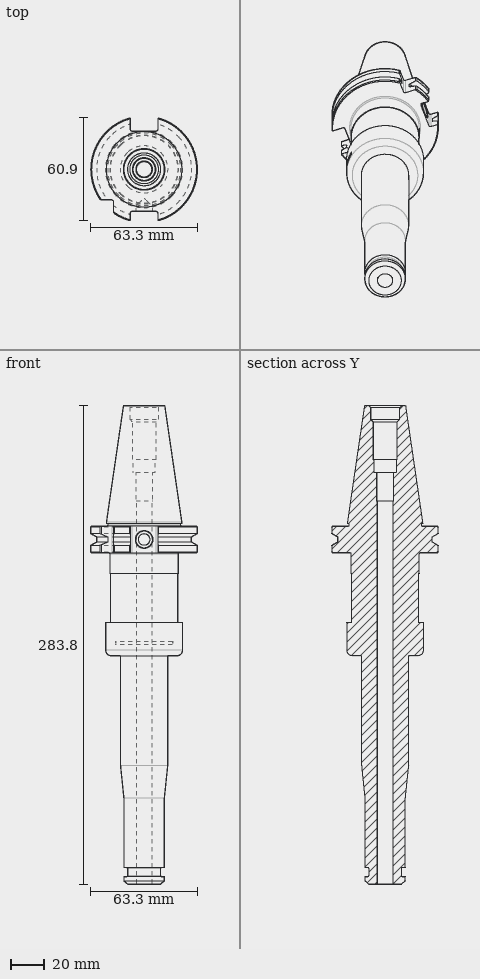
import cadquery as cq
import math

TOTAL_HEIGHT = 283.8
GAUGE_Z = 214.5
UNDERCUT_Z = 213.7
FLANGE_TOP_Z = 212.2
FLANGE_BOTTOM_Z = 196.4
BODY_SPLIT_Z = 184.2
COLLAR_TOP_Z = 155.2
COLLAR_BOTTOM_Z = 135.3
CONE_TOP_Z = 70.5
CONE_BOTTOM_Z = 51.0
NOSE_TOP_Z = 10.0
HEAD_TOP_Z = 4.5
HEAD_CHAMFER_Z = 2.0

TAPER_SMALL_D = 24.7
TAPER_CHAMFER = 0.43
TAPER_LARGE_D = 44.8
UNDERCUT_D = 43.0
FLANGE_D = 63.3
FLANGE_CHAMFER = 0.5
BODY_D = 40.5
LOWER_BODY_D = 40.0
COLLAR_D = 45.7
COLLAR_FILLET = 3.5
SHANK_D = 28.0
SLIM_SHANK_D = 24.0
NOSE_NECK_D = 19.5
HEAD_END_D = 19.3
NECK_FILLET = 0.7
ROOT_FILLET = 0.7

GROOVE_Z = 204.3
GROOVE_ROOT_D = 56.2
GROOVE_ROOT_WIDTH = 2.8
GROOVE_HALF_ANGLE = 30

SLOT_WIDTH = 16.2
FRONT_SLOT_FLOOR_Y = 25.0
BACK_SLOT_FLOOR_Y = 22.7
NOTCH_X = 18.2
NOTCH_Y = 18.2
CORNER_FILLET = 1.0

CHIP_HOLE_D = 10.0
CHIP_HOLE_DEPTH = 4.5
CHIP_PILOT_D = 6.8
CHIP_CHAMFER = 0.3

MOUTH_D = 19.5
PILOT_D = 17.0
PILOT_DEPTH = 8.2
CENTRE_HALF_ANGLE = 45
THREAD_D = 14.0
THREAD_DEPTH = 32.0
TUBE_D = 13.0
TUBE_DEPTH = 39.7
STEP_D = 10.0
STEP_DEPTH = 56.8
THROUGH_D = 9.0

ARC_GROOVE_Z = 143.0
ARC_GROOVE_WIDTH = 1.7
ARC_GROOVE_DEPTH = 0.3
ARC_GROOVE_HALF_ANGLE = 48


def revolve_profile(points):
    """Turn (radius, z) points about the Z axis."""
    return cq.Workplane("XZ").polyline(points).close().revolve(360, (0, 0), (0, 1))


def make_shaft():
    levels = [
        (HEAD_END_D, 0), (SLIM_SHANK_D, HEAD_CHAMFER_Z), (SLIM_SHANK_D, HEAD_TOP_Z),
        (NOSE_NECK_D, HEAD_TOP_Z), (NOSE_NECK_D, NOSE_TOP_Z),
        (SLIM_SHANK_D, NOSE_TOP_Z), (SLIM_SHANK_D, CONE_BOTTOM_Z),
        (SHANK_D, CONE_TOP_Z), (SHANK_D, COLLAR_TOP_Z),
        (LOWER_BODY_D, COLLAR_TOP_Z), (LOWER_BODY_D, BODY_SPLIT_Z),
        (BODY_D, BODY_SPLIT_Z), (BODY_D, FLANGE_TOP_Z),
        (UNDERCUT_D, FLANGE_TOP_Z), (UNDERCUT_D, UNDERCUT_Z),
        (TAPER_LARGE_D, UNDERCUT_Z), (TAPER_LARGE_D, GAUGE_Z),
        (TAPER_SMALL_D, TOTAL_HEIGHT - TAPER_CHAMFER),
        (TAPER_SMALL_D - 2 * TAPER_CHAMFER, TOTAL_HEIGHT),
    ]
    outline = [(diameter / 2, z) for diameter, z in levels]
    shaft = revolve_profile([(0, 0)] + outline + [(0, TOTAL_HEIGHT)])
    neck = NOSE_NECK_D / 2
    body = BODY_D / 2
    undercut = UNDERCUT_D / 2
    for ring in (
        root_fillet(neck, HEAD_TOP_Z, NECK_FILLET),
        root_fillet(neck, NOSE_TOP_Z, -NECK_FILLET),
        root_fillet(body, FLANGE_BOTTOM_Z, -ROOT_FILLET),
        root_fillet(undercut, FLANGE_TOP_Z, ROOT_FILLET),
    ):
        shaft = shaft.union(ring)
    return shaft


def root_fillet(radius, z, size):
    """Concave fillet ring in the corner at (radius, z); a negative size reaches downward."""
    reach = abs(size)
    inset = reach * (1 - math.sqrt(0.5))
    mid_rise = math.copysign(inset, size)
    return (
        cq.Workplane("XZ")
        .moveTo(radius - reach, z)
        .lineTo(radius + reach, z)
        .threePointArc((radius + inset, z + mid_rise), (radius, z + size))
        .lineTo(radius - reach, z + size)
        .close()
        .revolve(360, (0, 0), (0, 1))
    )


def make_collar():
    collar = (
        cq.Workplane("XY", origin=(0, 0, COLLAR_BOTTOM_Z))
        .circle(COLLAR_D / 2)
        .extrude(COLLAR_TOP_Z - COLLAR_BOTTOM_Z)
        .faces("<Z").edges().fillet(COLLAR_FILLET)
    )
    outer = COLLAR_D / 2
    groove = (
        cq.Workplane("XZ", origin=(0, 0, ARC_GROOVE_Z))
        .center(outer, 0)
        .rect(2 * ARC_GROOVE_DEPTH, ARC_GROOVE_WIDTH)
        .revolve(2 * ARC_GROOVE_HALF_ANGLE, (-outer, 0), (-outer, 1))
    )
    groove_turn = 90 - ARC_GROOVE_HALF_ANGLE
    return collar.cut(groove.rotate((0, 0, 0), (0, 0, 1), groove_turn))


def make_flange():
    flange = (
        cq.Workplane("XY", origin=(0, 0, FLANGE_BOTTOM_Z))
        .circle(FLANGE_D / 2)
        .extrude(FLANGE_TOP_Z - FLANGE_BOTTOM_Z)
    )
    for cutter in (
        flange_cutter(-SLOT_WIDTH / 2, SLOT_WIDTH / 2, -FLANGE_D, -FRONT_SLOT_FLOOR_Y),
        flange_cutter(-SLOT_WIDTH / 2, SLOT_WIDTH / 2, BACK_SLOT_FLOOR_Y, FLANGE_D),
        flange_cutter(-FLANGE_D, -NOTCH_X, -FLANGE_D, -NOTCH_Y),
    ):
        flange = flange.cut(cutter)
    rim_edges = [edge for edge in flange.edges().vals() if is_on_rim(edge)]
    flange = flange.newObject(rim_edges).chamfer(FLANGE_CHAMFER)
    return flange.cut(make_gripper_groove())


def is_on_rim(edge):
    """True when both ends of the edge lie on the outer cylinder of the flange."""
    tolerance = 0.003
    return all(
        abs(math.hypot(end.x, end.y) - FLANGE_D / 2) < tolerance
        for end in (edge.startPoint(), edge.endPoint())
    )


def make_gripper_groove():
    """V-groove with a flat root, running out past the rim."""
    root = GROOVE_ROOT_D / 2
    root_half = GROOVE_ROOT_WIDTH / 2
    outer = FLANGE_D
    outer_half = root_half + (outer - root) * math.tan(math.radians(GROOVE_HALF_ANGLE))
    return revolve_profile([
        (root, GROOVE_Z - root_half), (outer, GROOVE_Z - outer_half),
        (outer, GROOVE_Z + outer_half), (root, GROOVE_Z + root_half),
    ])


def flange_cutter(x_min, x_max, y_min, y_max):
    """Block through the flange thickness with rounded upright edges."""
    return (
        cq.Workplane("XY", origin=(0, 0, FLANGE_BOTTOM_Z))
        .moveTo((x_min + x_max) / 2, (y_min + y_max) / 2)
        .rect(x_max - x_min, y_max - y_min)
        .extrude(FLANGE_TOP_Z - FLANGE_BOTTOM_Z)
        .edges("|Z").fillet(CORNER_FILLET)
    )


def make_chip_hole():
    rim = CHIP_HOLE_D / 2
    pilot = CHIP_PILOT_D / 2
    floor = CHIP_HOLE_DEPTH
    profile = [
        (0, 0), (rim + CHIP_CHAMFER, 0), (rim, CHIP_CHAMFER), (rim, floor),
        (pilot, floor), (0, floor + pilot),
    ]
    return (
        revolve_profile(profile)
        .rotate((0, 0, 0), (1, 0, 0), -90)
        .translate((0, -FRONT_SLOT_FLOOR_Y, GROOVE_Z))
    )


def make_bore():
    mouth_depth = (MOUTH_D - PILOT_D) / 2
    centre_depth = (PILOT_D - THREAD_D) / 2 / math.tan(math.radians(CENTRE_HALF_ANGLE))
    steps = [
        (MOUTH_D, 0), (PILOT_D, mouth_depth), (PILOT_D, PILOT_DEPTH),
        (THREAD_D, PILOT_DEPTH + centre_depth), (THREAD_D, THREAD_DEPTH),
        (TUBE_D, THREAD_DEPTH), (TUBE_D, TUBE_DEPTH),
        (STEP_D, TUBE_DEPTH), (STEP_D, STEP_DEPTH),
        (THROUGH_D, STEP_DEPTH), (THROUGH_D, TOTAL_HEIGHT),
    ]
    outline = [(diameter / 2, TOTAL_HEIGHT - depth) for diameter, depth in steps]
    return revolve_profile([(0, TOTAL_HEIGHT)] + outline + [(0, 0)])


result = (
    make_shaft()
    .union(make_collar())
    .union(make_flange())
    .cut(make_chip_hole())
    .cut(make_bore())
)